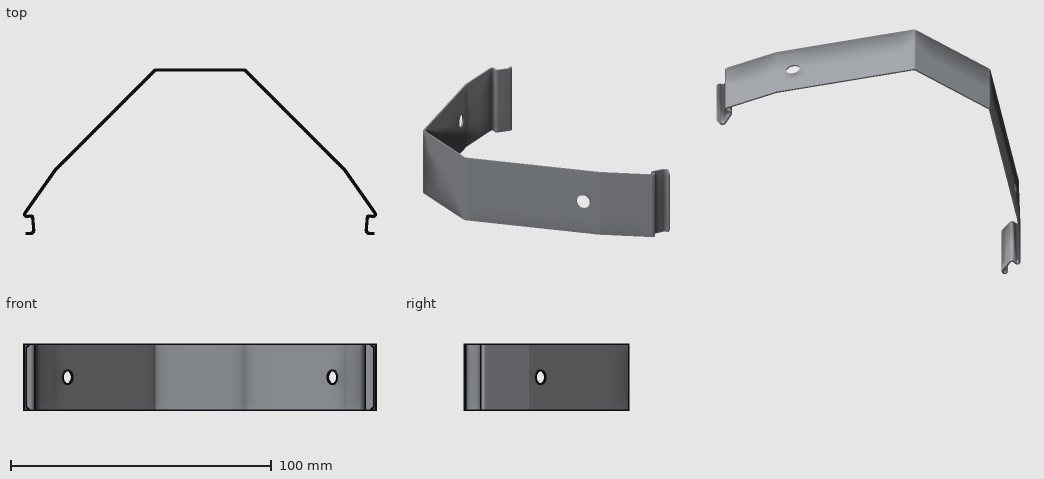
import cadquery as cq
import math

SPAN = 135.02
DEPTH = 63.18
STRIP_WIDTH = 25.4
THICKNESS = 0.6

BEND_RADIUS = 0.55
KNEE_RADIUS = 1.0
OUTER_BEND = BEND_RADIUS + THICKNESS
OUTER_KNEE = KNEE_RADIUS + THICKNESS

CROWN_HALF = 16.85
FLANK_LENGTH = 53.6
FLANK_ANGLE = math.radians(45)
ROLL_DEPTH = 55.55
BUMP_X = 64.95
BUMP_DEPTH = 57.0
KNEE_TIP_X = 63.4
LIP_END_X = 66.6
LIP_CHAMFER = 1.4

HOLE_DIAMETER = 5.28
HOLE_X = 50.6

CROWN = (CROWN_HALF, -OUTER_BEND)
SHOULDER = (
    CROWN[0] + FLANK_LENGTH * math.cos(FLANK_ANGLE),
    CROWN[1] - FLANK_LENGTH * math.sin(FLANK_ANGLE),
)
ROLL = (SPAN / 2 - OUTER_BEND, -ROLL_DEPTH)
BUMP = (BUMP_X, -BUMP_DEPTH)
KNEE = (KNEE_TIP_X + OUTER_KNEE, -DEPTH + OUTER_KNEE)
BENDS = [
    (CROWN, BEND_RADIUS, -1),
    (SHOULDER, BEND_RADIUS, -1),
    (ROLL, BEND_RADIUS, -1),
    (BUMP, BEND_RADIUS, 1),
    (KNEE, KNEE_RADIUS, 1),
]


def tangent_heading(start_bend, end_bend):
    """Direction of the straight strip that joins two bends tangentially."""
    (x1, y1), radius1, turn1 = start_bend
    (x2, y2), radius2, turn2 = end_bend
    mid_offset1 = turn1 * (radius1 + THICKNESS / 2)
    mid_offset2 = turn2 * (radius2 + THICKNESS / 2)
    spacing = math.hypot(x2 - x1, y2 - y1)
    return math.atan2(y2 - y1, x2 - x1) - math.asin((mid_offset2 - mid_offset1) / spacing)


def bend_arcs(side):
    """Start, middle and end of each bend on the left (+1) or right (-1) face of the strip."""
    headings = [0.0]
    for start_bend, end_bend in zip(BENDS, BENDS[1:]):
        headings.append(tangent_heading(start_bend, end_bend))
    headings.append(0.0)
    arcs = []
    for (centre, inside_radius, turn), enter, leave in zip(BENDS, headings, headings[1:]):
        sweep = turn * ((turn * (leave - enter)) % (2 * math.pi))
        on_inside = side == turn
        radius = inside_radius if on_inside else inside_radius + THICKNESS
        arc = []
        for fraction in (0, 0.5, 1):
            outward = enter + fraction * sweep - turn * math.pi / 2
            arc.append((centre[0] + radius * math.cos(outward), centre[1] + radius * math.sin(outward)))
        arcs.append(arc)
    return arcs


def half_strip():
    """Right half of the bent strip, extruded to full width about z = 0."""
    profile = cq.Workplane("XY").workplane(offset=-STRIP_WIDTH / 2).moveTo(0, 0)
    for start, middle, end in bend_arcs(1):
        profile = profile.lineTo(*start).threePointArc(middle, end)
    profile = profile.lineTo(LIP_END_X, -DEPTH + THICKNESS).lineTo(LIP_END_X, -DEPTH)
    for start, middle, end in reversed(bend_arcs(-1)):
        profile = profile.lineTo(*end).threePointArc(middle, start)
    return profile.lineTo(0, -THICKNESS).close().extrude(STRIP_WIDTH)


def chamfer_lip(body):
    """Cut the two free corners of the lip."""
    lip_middle = (LIP_END_X, -DEPTH + THICKNESS / 2, 0)
    reach = THICKNESS / 2
    lip_box = cq.selectors.BoxSelector(
        (lip_middle[0] - reach, lip_middle[1] - reach, -STRIP_WIDTH),
        (lip_middle[0] + reach, lip_middle[1] + reach, STRIP_WIDTH),
    )
    return body.edges(lip_box).edges("|Y").chamfer(LIP_CHAMFER)


def flank_hole():
    """Cutter for the round hole, square to the flank."""
    inside_face_start = bend_arcs(-1)[0][2]
    hole_y = inside_face_start[1] - (HOLE_X - inside_face_start[0]) * math.tan(FLANK_ANGLE)
    normal = cq.Vector(math.sin(FLANK_ANGLE), math.cos(FLANK_ANGLE), 0)
    start = cq.Vector(HOLE_X, hole_y, 0) - normal * THICKNESS
    return cq.Workplane(cq.Solid.makeCylinder(HOLE_DIAMETER / 2, 3 * THICKNESS, start, normal))


right_half = chamfer_lip(half_strip()).cut(flank_hole())
result = right_half.union(right_half.mirror("YZ"))